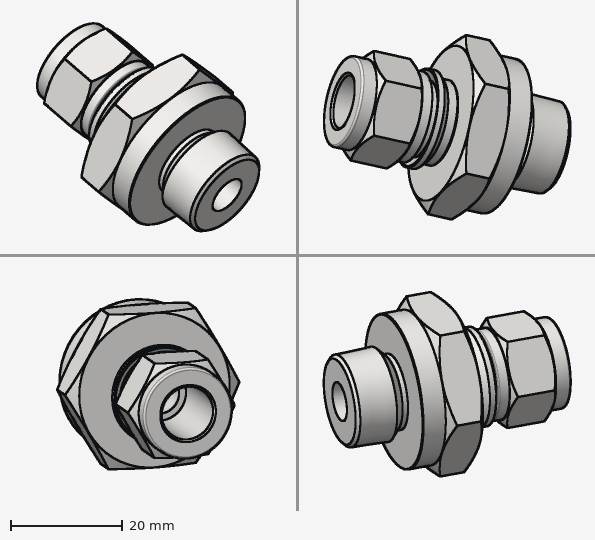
import cadquery as cq
import math


TOTAL_LENGTH = 41.51
NUT_HEX_START = 2.95
NUT_HEX_END = 11.95
NUT_END = 14.0
COLLAR_START = 14.8
RELIEF_START = 15.5
COLLAR_RIM_END = 16.05
RECESS_END = 16.7
SHANK_START = 17.3
BODY_HEX_START = 19.4
BODY_HEX_END = 26.6
FLANGE_END = 31.05
THREAD_NECK_END = 32.1
THREAD_CHAMFER = 0.65
THREAD_END = TOTAL_LENGTH - THREAD_CHAMFER

NUT_DIA = 16.8
NUT_NECK_DIA = 14.28
RELIEF_DIA = 13.05
COLLAR_DIA = 18.25
SHANK_DIA = 15.8
FLANGE_DIA = 28.5
THREAD_NECK_DIA = 14.0
THREAD_DIA = 17.45
THREAD_TAPER = 1 / 16
TUBE_BORE_DIA = 9.73
THROUGH_BORE_DIA = 7.11

NUT_ACROSS_FLATS = 17.5
NUT_CORNER_DIA = 20.19
NUT_FRONT_CIRCLE_DIA = 16.8
NUT_BACK_CIRCLE_DIA = 17.0
BODY_ACROSS_FLATS = 28.6
BODY_CORNER_DIA = 33.0
BODY_CIRCLE_DIA = 28.5
HEX_CHAMFER_ANGLE = math.radians(30)

COLLAR_RIM_WIDTH = 0.3
INLET_FILLET = 0.4
NUT_END_FILLET = 0.2
SHANK_CHAMFER = 0.3
FLANGE_CHAMFER = 0.15
BORE_CHAMFER = 0.4
TUBE_BORE_DEPTH = 16.0


def revolve_about_x(sketch):
    """Close an (x, radius) outline and turn it about the X axis."""
    return sketch.close().revolve(360, (0, 0, 0), (1, 0, 0))


def cylinder(start, end, diameter):
    """Solid cylinder on the X axis between two stations."""
    return cq.Workplane("YZ", origin=(start, 0, 0)).circle(diameter / 2).extrude(end - start)


def chamfered_hex(start, end, across_flats, corner_dia, front_circle_dia, back_circle_dia):
    """Hexagon with corners on the Y axis, turned to corner_dia and coned at both ends."""
    sharp_corner_dia = 2 * across_flats / math.sqrt(3)
    corner_radius = corner_dia / 2
    slope = math.tan(HEX_CHAMFER_ANGLE)
    front_depth = (corner_radius - front_circle_dia / 2) * slope
    back_depth = (corner_radius - back_circle_dia / 2) * slope
    prism = (
        cq.Workplane("YZ", origin=(start, 0, 0))
        .polygon(6, sharp_corner_dia)
        .extrude(end - start)
    )
    envelope = revolve_about_x(
        cq.Workplane("XY")
        .moveTo(start, 0)
        .lineTo(start, front_circle_dia / 2)
        .lineTo(start + front_depth, corner_radius)
        .lineTo(end - back_depth, corner_radius)
        .lineTo(end, back_circle_dia / 2)
        .lineTo(end, 0)
    )
    return prism.intersect(envelope)


def nut():
    """Hexagon on a round sleeve that shows at both ends."""
    sleeve = cylinder(0, NUT_END, NUT_DIA)
    sleeve = sleeve.faces("<X").edges().fillet(INLET_FILLET)
    sleeve = sleeve.faces(">X").edges().fillet(NUT_END_FILLET)
    hexagon = chamfered_hex(
        NUT_HEX_START,
        NUT_HEX_END,
        NUT_ACROSS_FLATS,
        NUT_CORNER_DIA,
        NUT_FRONT_CIRCLE_DIA,
        NUT_BACK_CIRCLE_DIA,
    )
    return sleeve.union(hexagon)


def shank():
    """Neck behind the nut, then a collar hollowed from the front by a conical recess, and its shank."""
    shank_radius = SHANK_DIA / 2
    neck = cylinder(NUT_HEX_END, RELIEF_START, NUT_NECK_DIA)
    ring_and_shank = revolve_about_x(
        cq.Workplane("XY")
        .moveTo(COLLAR_START, 0)
        .lineTo(COLLAR_START, COLLAR_DIA / 2)
        .lineTo(COLLAR_RIM_END, COLLAR_DIA / 2)
        .lineTo(SHANK_START, shank_radius)
        .lineTo(BODY_HEX_START - SHANK_CHAMFER, shank_radius)
        .lineTo(BODY_HEX_START, shank_radius - SHANK_CHAMFER)
        .lineTo(BODY_HEX_START, 0)
    )
    recess = revolve_about_x(
        cq.Workplane("XY")
        .moveTo(COLLAR_START, NUT_NECK_DIA / 2)
        .lineTo(COLLAR_START, COLLAR_DIA / 2 - COLLAR_RIM_WIDTH)
        .lineTo(RECESS_END, RELIEF_DIA / 2)
        .lineTo(RELIEF_START, RELIEF_DIA / 2)
        .lineTo(RELIEF_START, NUT_NECK_DIA / 2)
    )
    return neck.union(ring_and_shank.cut(recess))


def body():
    """Large hexagon with a round flange behind it."""
    hexagon = chamfered_hex(
        BODY_HEX_START,
        BODY_HEX_END,
        BODY_ACROSS_FLATS,
        BODY_CORNER_DIA,
        BODY_CIRCLE_DIA,
        BODY_CIRCLE_DIA,
    )
    flange = cylinder(BODY_HEX_END, FLANGE_END, FLANGE_DIA)
    flange = flange.faces(">X").edges().chamfer(FLANGE_CHAMFER)
    return hexagon.union(flange)


def threaded_end():
    """Undercut neck and tapered thread envelope with 45 degree lead-ins."""
    neck_radius = THREAD_NECK_DIA / 2
    large_radius = THREAD_DIA / 2
    thread_start = THREAD_NECK_END + large_radius - neck_radius
    small_radius = large_radius - (THREAD_END - thread_start) * THREAD_TAPER / 2
    return revolve_about_x(
        cq.Workplane("XY")
        .moveTo(FLANGE_END, 0)
        .lineTo(FLANGE_END, neck_radius)
        .lineTo(THREAD_NECK_END, neck_radius)
        .lineTo(thread_start, large_radius)
        .lineTo(THREAD_END, small_radius)
        .lineTo(TOTAL_LENGTH, small_radius - THREAD_CHAMFER)
        .lineTo(TOTAL_LENGTH, 0)
    )


def bore():
    """Stepped bore: chamfered tube socket, then a narrower passage to the far end."""
    socket_radius = TUBE_BORE_DIA / 2
    socket = revolve_about_x(
        cq.Workplane("XY")
        .moveTo(0, 0)
        .lineTo(0, socket_radius + BORE_CHAMFER)
        .lineTo(BORE_CHAMFER, socket_radius)
        .lineTo(TUBE_BORE_DEPTH, socket_radius)
        .lineTo(TUBE_BORE_DEPTH, 0)
    )
    return socket.union(cylinder(0, TOTAL_LENGTH, THROUGH_BORE_DIA))


result = nut().union(shank()).union(body()).union(threaded_end()).cut(bore())